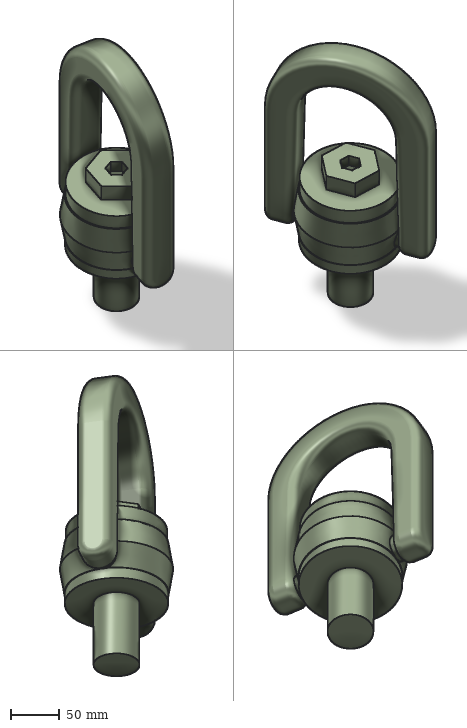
import cadquery as cq

total_height = 333.0

shank_diameter = 48.0
shank_length = 73.5
base_diameter = 108.0
base_top = 86.0
waist_diameter = 109.0
bulge_diameter = 118.2
bulge_top = 144.0
bulge_middle = (base_top + bulge_top) / 2
collar_diameter = 106.0
collar_top = 161.0
head_corners = 64.3
head_top = 180.0
socket_corners = 23.0
socket_depth = 13.3

bail_width = 183.0
bail_thickness = 38.0
edge_radius = 9.5
leg_end_z = 80.0
crown_gap = 110.2
leg_gap = 116.2
taper_end_z = 111.2
pin_diameter = 28.5
pin_z = 100.0
pin_reach = 43.3

crown_outer_radius = bail_width / 2
crown_center_z = total_height - crown_outer_radius
leg_end_radius = bail_thickness / 2
leg_round_z = leg_end_z + leg_end_radius
crown_inner_x = crown_gap / 2
leg_inner_x = leg_gap / 2
crown_inner_z = total_height - bail_thickness


def make_bail_bar():
    """U-shaped bar with half-round leg ends and rounded edges."""
    bar = (
        cq.Workplane("XZ")
        .moveTo(-crown_outer_radius, leg_end_z)
        .lineTo(-crown_outer_radius, crown_center_z)
        .threePointArc((0, total_height), (crown_outer_radius, crown_center_z))
        .lineTo(crown_outer_radius, leg_end_z)
        .lineTo(leg_inner_x, leg_end_z)
        .lineTo(leg_inner_x, taper_end_z)
        .lineTo(crown_inner_x, crown_center_z)
        .threePointArc((0, crown_inner_z), (-crown_inner_x, crown_center_z))
        .lineTo(-leg_inner_x, taper_end_z)
        .lineTo(-leg_inner_x, leg_end_z)
        .close()
        .extrude(leg_end_radius, both=True)
    )
    side_outline = (
        cq.Workplane("YZ")
        .moveTo(-leg_end_radius, total_height)
        .lineTo(-leg_end_radius, leg_round_z)
        .threePointArc((0, leg_end_z), (leg_end_radius, leg_round_z))
        .lineTo(leg_end_radius, total_height)
        .close()
        .extrude(crown_outer_radius, both=True)
    )
    bar = bar.intersect(side_outline)
    return bar.edges("not(|X or |Y)").fillet(edge_radius)


def make_pin(side):
    """Round pin from inside a leg towards the Z axis; side is -1 for -X and +1 for +X."""
    pin_root = leg_inner_x + edge_radius
    return (
        cq.Workplane("YZ", origin=(side * pin_reach, 0, pin_z))
        .circle(pin_diameter / 2)
        .extrude(side * (pin_root - pin_reach))
    )


def make_bail():
    """Bar with the two pins that it swings on."""
    bail = make_bail_bar()
    for side in (-1, 1):
        bail = bail.union(make_pin(side))
    return bail


def make_housing():
    """Turned housing and shank with a hexagon head, its socket and room for the bail."""
    turned = (
        cq.Workplane("XZ")
        .moveTo(0, 0)
        .lineTo(shank_diameter / 2, 0)
        .lineTo(shank_diameter / 2, shank_length)
        .lineTo(base_diameter / 2, shank_length)
        .lineTo(base_diameter / 2, base_top)
        .lineTo(waist_diameter / 2, base_top)
        .lineTo(bulge_diameter / 2, bulge_middle)
        .lineTo(waist_diameter / 2, bulge_top)
        .lineTo(collar_diameter / 2, bulge_top)
        .lineTo(collar_diameter / 2, collar_top)
        .lineTo(0, collar_top)
        .close()
        .revolve(360, (0, 0, 0), (0, 1, 0))
    )
    head = cq.Workplane(origin=(0, 0, collar_top)).polygon(6, head_corners).extrude(head_top - collar_top)
    socket = cq.Workplane(origin=(0, 0, head_top)).polygon(6, socket_corners).extrude(-socket_depth)
    return turned.union(head).cut(socket)


bail = make_bail()
housing = make_housing().cut(bail)

result = cq.Compound.makeCompound([housing.solids().val(), bail.solids().val()])